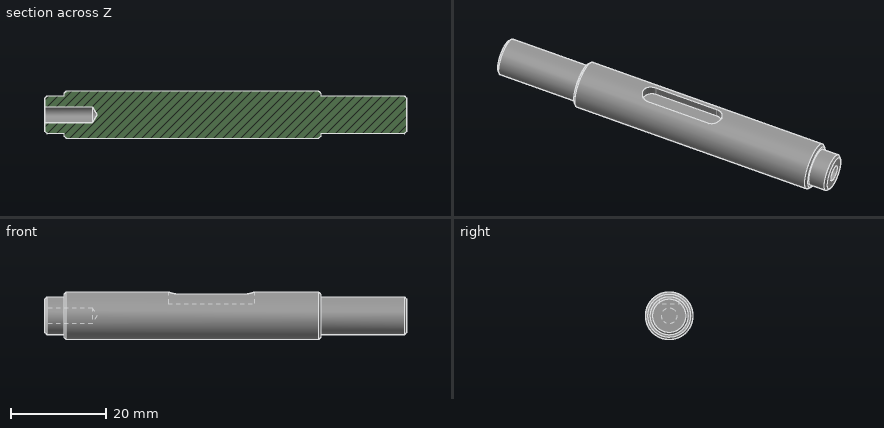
import cadquery as cq
import math

total_length = 76.0
body_diameter = 10.0
journal_diameter = 8.0
front_journal_length = 4.0
rear_journal_length = 18.0
chamfer = 0.5
body_end = total_length - rear_journal_length

key_start = 26.0
key_length = 18.0
key_width = 4.0
key_depth = 2.5

hole_diameter = 3.3
hole_depth = 10.0
drill_point_angle = 118


def cylinder_section(start, end, diameter, chamfered_edges):
    """Shaft section along X with the selected end edges chamfered."""
    section = cq.Workplane("YZ").workplane(offset=start).circle(diameter / 2).extrude(end - start)
    return section.faces(chamfered_edges).chamfer(chamfer)


def keyway():
    """Round-ended slot cutter reaching down from the top of the body."""
    return (
        cq.Workplane("XY")
        .workplane(offset=body_diameter / 2 - key_depth)
        .center(key_start + key_length / 2, 0)
        .slot2D(key_length, key_width)
        .extrude(2 * key_depth)
    )


def drilled_hole():
    """Hole cutter with a conical drill point, revolved about X."""
    radius = hole_diameter / 2
    point_depth = radius / math.tan(math.radians(drill_point_angle / 2))
    return (
        cq.Workplane("XY")
        .polyline([(0, 0), (0, radius), (hole_depth, radius), (hole_depth + point_depth, 0)])
        .close()
        .revolve(360, (0, 0, 0), (1, 0, 0))
    )


front_journal = cylinder_section(0, front_journal_length, journal_diameter, "<X")
body = cylinder_section(front_journal_length, body_end, body_diameter, "<X or >X")
rear_journal = cylinder_section(body_end, total_length, journal_diameter, ">X")

shaft = front_journal.union(body).union(rear_journal)
result = shaft.cut(keyway()).cut(drilled_hole())